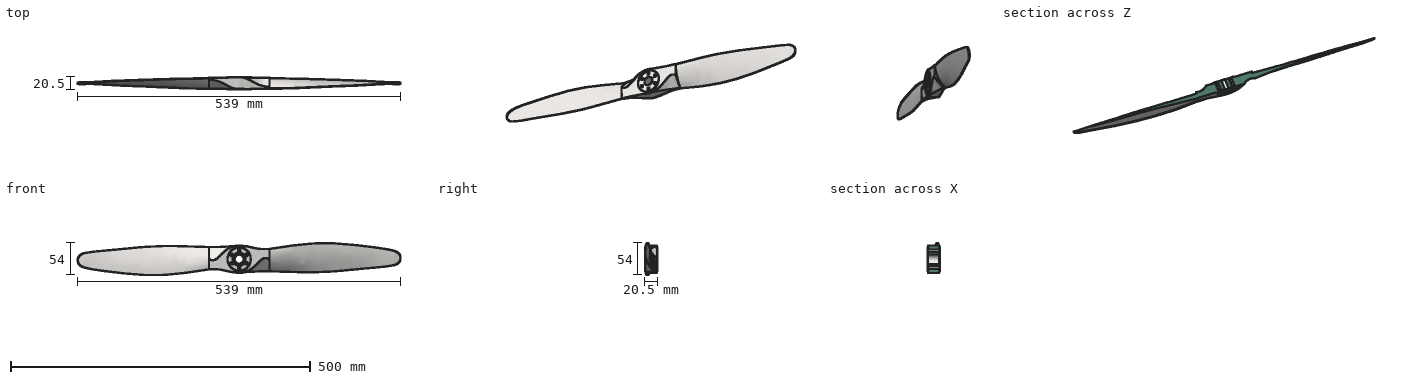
import cadquery as cq

length = 539.0
half_span = length / 2
hub_thickness = 20.5
hub_radius = 23.0
boss_radius = 19.5
boss_height = 0.8
root_thickness = hub_thickness - 2 * boss_height
rim_step = 0.25
rim_thickness = root_thickness - 2 * rim_step
bore_radius = 7.5
counterbore_radius = 11.0
counterbore_depth = 1.5
bolt_count = 6
bolt_circle_radius = 14.0
bolt_hole_radius = 1.9
first_bolt_angle = 30

tip_start = 259.0
tip_low = -10.0
tip_high = 14.0
tip_middle = 1.0
tip_flare = 0.35
edge_thickness = 1.0
back_share = 0.4

root_stations = [
    (5.5, 22.0, -22.0, -21.0, 18.5),
    (13.0, 21.5, -21.5, -20.0, 16.5),
    (22.5, 19.5, -21.0, -14.5, 12.0),
    (35.5, 17.0, -20.5, -2.0, 6.0),
    (50.5, 17.0, -20.5, -0.8, 3.0),
]

blade_stations = [
    (50.5, 17.0, -9.0, -20.5, 8.5, 13.0),
    (71.0, 20.5, -9.0, -21.0, 8.0, 10.0),
    (110.5, 25.5, -8.0, -22.0, 7.5, 7.5),
    (143.0, 27.0, -6.5, -21.5, 6.5, 6.0),
    (178.0, 25.5, -5.1, -19.0, 5.5, 5.0),
    (217.0, 21.0, -3.0, -15.0, 4.0, 3.0),
    (tip_start, tip_high, -1.9, tip_low, 1.9, 2.0),
]


def section_plane(x):
    """Section plane whose local axes are Y and Z."""
    return cq.Workplane("YZ", origin=(x, 0, 0))


def root_section(x, trail_z, lead_z, crease_z, edge_depth):
    """Six-sided section, creased on both faces where the hub slab fades out."""
    face_y = root_thickness / 2
    return (
        section_plane(x)
        .moveTo(-face_y, trail_z)
        .lineTo(edge_depth - face_y, trail_z)
        .lineTo(face_y, -crease_z)
        .lineTo(face_y, lead_z)
        .lineTo(face_y - edge_depth, lead_z)
        .lineTo(-face_y, crease_z)
        .close()
        .wire()
        .val()
    )


def blade_section(x, trail_z, trail_y, lead_z, lead_y, thickness):
    """Twisted airfoil with its fuller curve on the front (-Y) side."""
    middle_y = (trail_y + lead_y) / 2
    middle_z = (trail_z + lead_z) / 2
    return (
        section_plane(x)
        .moveTo(trail_y, trail_z)
        .lineTo(trail_y + edge_thickness, trail_z)
        .threePointArc((middle_y + thickness * back_share, middle_z), (lead_y, lead_z))
        .lineTo(lead_y - edge_thickness, lead_z)
        .threePointArc((middle_y - thickness * (1 - back_share), middle_z), (trail_y, trail_z))
        .close()
        .wire()
        .val()
    )


def loft(sections, ruled=False):
    return cq.Workplane(obj=cq.Solid.makeLoft(sections, ruled))


def make_tip():
    """Short end piece trimmed to a round outline."""
    start = blade_stations[-1]
    stock = loft(
        [blade_section(*start), blade_section(half_span, *start[1:])],
        ruled=True,
    )
    outline = (
        cq.Workplane("XZ")
        .moveTo(tip_start, tip_low)
        .spline(
            [(half_span, tip_middle), (tip_start, tip_high)],
            tangents=[(1, tip_flare), (-1, tip_flare)],
            includeCurrent=True,
        )
        .close()
        .extrude(hub_thickness, both=True)
    )
    return stock.intersect(outline)


def make_blade():
    root = loft([root_section(*station) for station in root_stations])
    blade = loft([blade_section(*station) for station in blade_stations])
    return root.union(blade).union(make_tip())


def shaft_cylinder(radius, height):
    return cq.Workplane("XZ").circle(radius).extrude(height / 2, both=True)


def cut_hub_holes(body):
    body = body.cut(shaft_cylinder(bore_radius, hub_thickness))
    counterbore = (
        cq.Workplane("XZ", origin=(0, -hub_thickness / 2, 0))
        .circle(counterbore_radius)
        .extrude(-counterbore_depth)
    )
    bolt_holes = (
        cq.Workplane("XZ")
        .polarArray(bolt_circle_radius, first_bolt_angle, 360, bolt_count)
        .circle(bolt_hole_radius)
        .extrude(hub_thickness / 2, both=True)
    )
    return body.cut(counterbore).cut(bolt_holes)


blade = make_blade()
hub = shaft_cylinder(hub_radius, rim_thickness).union(shaft_cylinder(boss_radius, hub_thickness))
propeller = hub.union(blade).union(blade.rotate((0, 0, 0), (0, 1, 0), 180))
result = cut_hub_holes(propeller)